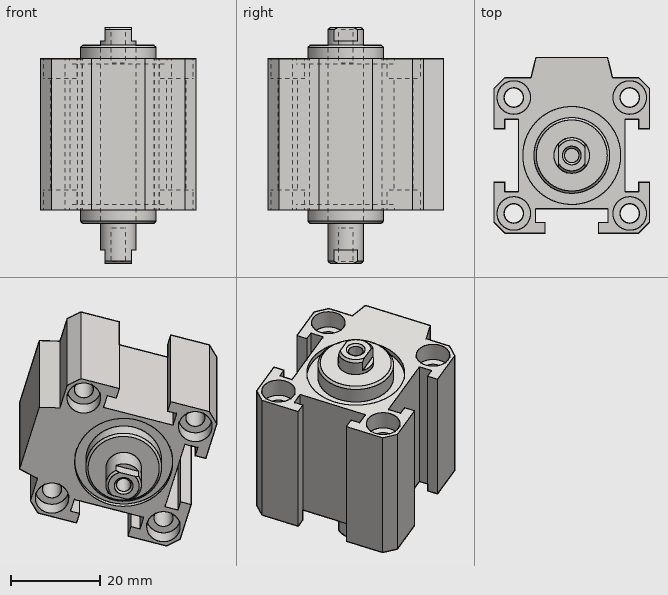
import cadquery as cq

HOUSING_WIDTH = 35.0
HOUSING_HEIGHT = 34.0
CORNER_CHAMFER = 2.5
RAIL_HEIGHT = 4.5
RAIL_BASE_WIDTH = 18.35
RAIL_TOP_WIDTH = 16.1

SLOT_OPENING = 12.0
SLOT_INNER_WIDTH = 16.2
SLOT_DEPTH = 5.5
SLOT_LIP = 2.5

BOLT_SPACING = 26.0
BOLT_DIAMETER = 4.3
COUNTERBORE_DIAMETER = 7.5
COUNTERBORE_DEPTH = 4.5

BOSS_DIAMETER = 17.0
BOSS_HEIGHT = 3.0
BOSS_CHAMFER = 0.55
RECESS_DIAMETER = 22.0
RECESS_DEPTH = 1.2

ROD_DIAMETER = 8.0
ROD_CHAMFER = 0.55
ROD_LENGTH = 53.0
ROD_TOP_REACH = 7.0
FLAT_WIDTH = 6.0
FLAT_LENGTH = 3.0
TAP_DIAMETER = 3.25
TAP_MOUTH_DIAMETER = 4.2
TAP_DEPTH = 7.95

HALF_WIDTH = HOUSING_WIDTH / 2
HALF_HEIGHT = HOUSING_HEIGHT / 2
BOSS_TOP = HALF_HEIGHT + BOSS_HEIGHT
ROD_TOP = HALF_HEIGHT + ROD_TOP_REACH
ROD_BOTTOM = ROD_TOP - ROD_LENGTH


def cylinder(diameter, z_start, z_end):
    """Cylinder on the Z axis between two heights."""
    return cq.Workplane("XY").workplane(offset=z_start).circle(diameter / 2).extrude(z_end - z_start)


def make_both_ends(top_shape):
    """Shape at the +Z end together with its mirror image at the -Z end."""
    return top_shape.union(top_shape.mirror("XY"))


def make_block():
    block = (
        cq.Workplane("XY")
        .box(HOUSING_WIDTH, HOUSING_WIDTH, HOUSING_HEIGHT)
        .edges("|Z")
        .chamfer(CORNER_CHAMFER)
    )
    rail = (
        cq.Workplane("XY")
        .workplane(offset=-HALF_HEIGHT)
        .polyline([
            (-RAIL_BASE_WIDTH / 2, 0),
            (-RAIL_BASE_WIDTH / 2, HALF_WIDTH),
            (-RAIL_TOP_WIDTH / 2, HALF_WIDTH + RAIL_HEIGHT),
            (RAIL_TOP_WIDTH / 2, HALF_WIDTH + RAIL_HEIGHT),
            (RAIL_BASE_WIDTH / 2, HALF_WIDTH),
            (RAIL_BASE_WIDTH / 2, 0),
        ])
        .close()
        .extrude(HOUSING_HEIGHT)
    )
    return block.union(rail)


def make_t_slot(angle):
    """T-slot cutter for the -Y side, turned about Z by an angle in degrees."""
    opening = cq.Workplane("XY").box(
        SLOT_OPENING, SLOT_DEPTH, HOUSING_HEIGHT
    ).translate((0, -HALF_WIDTH + SLOT_DEPTH / 2, 0))
    inner_depth = SLOT_DEPTH - SLOT_LIP
    inner = cq.Workplane("XY").box(
        SLOT_INNER_WIDTH, inner_depth, HOUSING_HEIGHT
    ).translate((0, -HALF_WIDTH + SLOT_LIP + inner_depth / 2, 0))
    return opening.union(inner).rotate((0, 0, 0), (0, 0, 1), angle)


def make_bolt_hole():
    """Cutter for one through hole with a counterbore at each end."""
    counterbore = cylinder(COUNTERBORE_DIAMETER, HALF_HEIGHT - COUNTERBORE_DEPTH, HALF_HEIGHT)
    return cylinder(BOLT_DIAMETER, -HALF_HEIGHT, HALF_HEIGHT).union(make_both_ends(counterbore))


def make_housing():
    housing = make_block()
    for angle in (-90, 0, 90):
        housing = housing.cut(make_t_slot(angle))

    bolt_hole = make_bolt_hole()
    for x_side in (-1, 1):
        for y_side in (-1, 1):
            center = (x_side * BOLT_SPACING / 2, y_side * BOLT_SPACING / 2, 0)
            housing = housing.cut(bolt_hole.translate(center))

    recess_floor = HALF_HEIGHT - RECESS_DEPTH
    housing = housing.cut(make_both_ends(cylinder(RECESS_DIAMETER, recess_floor, HALF_HEIGHT)))
    boss = cylinder(BOSS_DIAMETER, recess_floor, BOSS_TOP).faces(">Z").chamfer(BOSS_CHAMFER)
    housing = housing.union(make_both_ends(boss))

    return housing.cut(cylinder(ROD_DIAMETER, -BOSS_TOP, BOSS_TOP))


def make_tapped_hole():
    """Cutter for the blind hole in the top end of the rod, with its countersunk mouth."""
    mouth_depth = (TAP_MOUTH_DIAMETER - TAP_DIAMETER) / 2
    hole_bottom = ROD_TOP - TAP_DEPTH
    return (
        cq.Workplane("XZ")
        .polyline([
            (0, hole_bottom),
            (TAP_DIAMETER / 2, hole_bottom),
            (TAP_DIAMETER / 2, ROD_TOP - mouth_depth),
            (TAP_MOUTH_DIAMETER / 2, ROD_TOP),
            (0, ROD_TOP),
        ])
        .close()
        .revolve(360, (0, 0, 0), (0, 1, 0))
    )


def make_wrench_flats():
    """Cutter that leaves two flats, facing -X and +X, at the top end of the rod."""
    flats_bottom = ROD_TOP - FLAT_LENGTH
    tongue = (
        cq.Workplane("XY")
        .workplane(offset=flats_bottom)
        .rect(FLAT_WIDTH, ROD_DIAMETER)
        .extrude(FLAT_LENGTH)
    )
    return cylinder(ROD_DIAMETER, flats_bottom, ROD_TOP).cut(tongue)


def make_rod():
    rod = cylinder(ROD_DIAMETER, ROD_BOTTOM, ROD_TOP).faces("<Z or >Z").chamfer(ROD_CHAMFER)
    rod_middle = (0, 0, (ROD_TOP + ROD_BOTTOM) / 2)
    for cutter in (make_wrench_flats(), make_tapped_hole()):
        rod = rod.cut(cutter)
        rod = rod.cut(cutter.mirror("XY", rod_middle))
    return rod


housing = make_housing()
rod = make_rod()

result = cq.Compound.makeCompound([housing.solids().val(), rod.solids().val()])